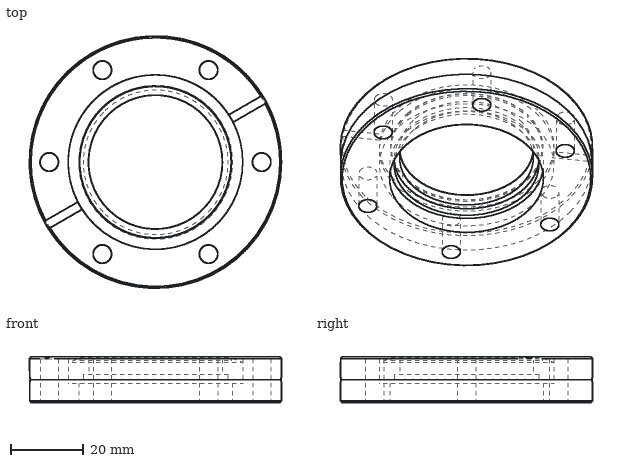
import cadquery as cq

outer_radius = 34.95
height = 12.7
edge_chamfer_width = 0.5
edge_chamfer_height = 0.55

rim_groove_depth = 0.2
rim_groove_width = 1.4

pocket_radius = 24.2
back_bore_radius = 21.3
ledge_z = 5.4

bolt_count = 6
bolt_circle_radius = 29.4
bolt_hole_diameter = 5.0

leak_groove_width = 2.4
leak_groove_depth = 0.55
leak_groove_angles = (30, 210)
leak_groove_radius = ((leak_groove_width / 2) ** 2 + leak_groove_depth**2) / (2 * leak_groove_depth)

insert_bore_radius = 18.5
socket_radius = 20.05
knife_radius = 21.0
knife_tip_width = 0.15
knife_depth = 0.35
recess_depth = 1.6
floor_depth = 1.0
bore_depth = 4.8


def revolve_profile(points):
    """Revolve a closed (radius, z) outline about the Z axis."""
    return cq.Workplane("XZ").polyline(points).close().revolve(360, (0, 0), (0, 1))


def make_leak_groove(angle):
    """Round cutter running radially outward from the pocket at the given angle."""
    axis_z = height + leak_groove_radius - leak_groove_depth
    return (
        cq.Workplane("YZ")
        .center(0, axis_z)
        .circle(leak_groove_radius)
        .extrude(outer_radius + edge_chamfer_width)
        .rotate((0, 0, 0), (0, 0, 1), angle)
    )


def make_ring():
    """Outer ring with stepped bore, chamfered rim, V groove, bolt holes and leak grooves."""
    face_radius = outer_radius - edge_chamfer_width
    mid_z = height / 2
    ring = revolve_profile([
        (back_bore_radius, 0),
        (face_radius, 0),
        (outer_radius, edge_chamfer_height),
        (outer_radius, mid_z - rim_groove_width / 2),
        (outer_radius - rim_groove_depth, mid_z),
        (outer_radius, mid_z + rim_groove_width / 2),
        (outer_radius, height - edge_chamfer_height),
        (face_radius, height),
        (pocket_radius, height),
        (pocket_radius, ledge_z),
        (back_bore_radius, ledge_z),
    ])
    bolt_holes = (
        cq.Workplane("XY")
        .polarArray(bolt_circle_radius, 0, 360, bolt_count)
        .circle(bolt_hole_diameter / 2)
        .extrude(height)
    )
    ring = ring.cut(bolt_holes)
    for angle in leak_groove_angles:
        ring = ring.cut(make_leak_groove(angle))
    return ring


def make_insert():
    """Knife-edge insert filling the pocket, with a wider tube socket behind its bore."""
    return revolve_profile([
        (socket_radius, ledge_z),
        (pocket_radius, ledge_z),
        (pocket_radius, height - recess_depth),
        (knife_radius + knife_tip_width, height - knife_depth),
        (knife_radius, height - knife_depth),
        (knife_radius, height - floor_depth),
        (insert_bore_radius, height - floor_depth),
        (insert_bore_radius, height - bore_depth),
        (socket_radius, height - bore_depth),
    ])


ring = make_ring()
insert = make_insert()
result = cq.Compound.makeCompound([ring.val(), insert.val()])